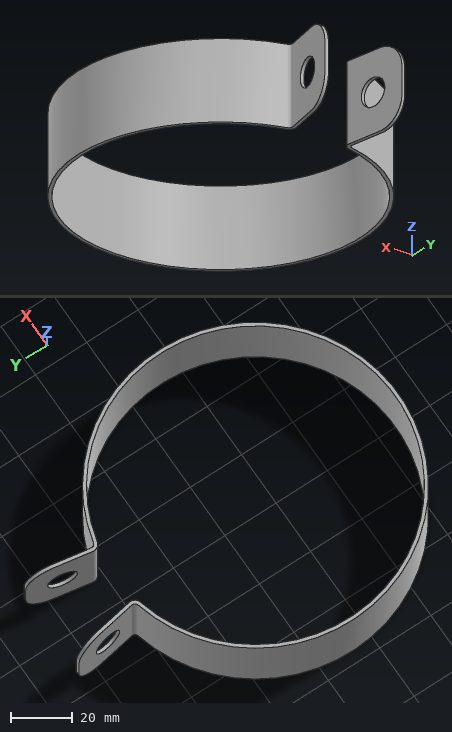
import cadquery as cq
import math

outer_diameter = 112.0
overall_depth = 135.7
band_width = 30.0
thickness = 1.4
bend_inner_radius = 1.5
bend_center_x = 13.3
tab_tilt = math.radians(10)
tab_corner_radius = 10.0
hole_diameter = 10.5
hole_to_tab_end = 13.0

outer_radius = outer_diameter / 2
inner_radius = outer_radius - thickness
bend_outer_radius = bend_inner_radius + thickness
bend_center_distance = outer_radius + bend_inner_radius
bend_center_y = math.sqrt(bend_center_distance**2 - bend_center_x**2)
bend_center = cq.Vector(bend_center_x, bend_center_y)
ring_end_angle = math.atan2(bend_center_y, bend_center_x)

tab_along = cq.Vector(math.sin(tab_tilt), math.cos(tab_tilt))
tab_across = cq.Vector(math.cos(tab_tilt), -math.sin(tab_tilt))

tab_start = bend_center - tab_across * bend_outer_radius
tab_length = (overall_depth - outer_radius - tab_start.y) / tab_along.y
tab_end = tab_start + tab_along * tab_length


def polar(radius, angle):
    return cq.Vector(radius * math.cos(angle), radius * math.sin(angle))


def mirrored(point):
    return cq.Vector(-point.x, point.y, point.z)


def bend_and_tab_edges():
    """Outline edges of the right bend and tab, open where they meet the ring."""
    bend_start_angle = ring_end_angle + math.pi
    bend_end_angle = math.pi - tab_tilt
    bend_middle_angle = (bend_start_angle + bend_end_angle) / 2
    across_sheet = tab_across * thickness
    inner_bend_middle = bend_center + polar(bend_inner_radius, bend_middle_angle)
    outer_bend_middle = bend_center + polar(bend_outer_radius, bend_middle_angle)
    return [
        ("arc", polar(outer_radius, ring_end_angle), inner_bend_middle, tab_start + across_sheet),
        ("line", tab_start + across_sheet, tab_end + across_sheet),
        ("line", tab_end + across_sheet, tab_end),
        ("line", tab_end, tab_start),
        ("arc", tab_start, outer_bend_middle, polar(inner_radius, ring_end_angle)),
    ]


def ring_edge(radius):
    right_end = polar(radius, ring_end_angle)
    return ("arc", mirrored(right_end), cq.Vector(0, -radius), right_end)


def bent_strip():
    """Whole strip: one closed outline extruded over the band width."""
    right_edges = bend_and_tab_edges()
    left_edges = [(kind, *map(mirrored, points)) for kind, *points in right_edges]
    make_edge = {"arc": cq.Edge.makeThreePointArc, "line": cq.Edge.makeLine}
    outline = right_edges + left_edges + [ring_edge(outer_radius), ring_edge(inner_radius)]
    edges = [make_edge[kind](*points) for kind, *points in outline]
    profile = cq.Wire.combine(edges)[0]
    strip = cq.Solid.extrudeLinear(profile, [], cq.Vector(0, 0, band_width))
    return cq.Workplane(strip.translate(cq.Vector(0, 0, -band_width / 2)))


def round_tab_corners(strip):
    """Round the top and bottom corners at the free end of both tabs."""
    end_center = tab_end + tab_across * (thickness / 2)
    corner_offset = cq.Vector(0, 0, band_width / 2)
    for right_corner in (end_center + corner_offset, end_center - corner_offset):
        for corner in (right_corner, mirrored(right_corner)):
            corner_edge = strip.edges(cq.selectors.NearestToPointSelector(corner.toTuple()))
            strip = corner_edge.fillet(tab_corner_radius)
    return strip


def tab_hole():
    """Cutter for the right bolt hole, square to the tab face."""
    start = tab_end - tab_along * hole_to_tab_end - tab_across * thickness
    cutter_length = 3 * thickness
    return cq.Workplane(
        cq.Solid.makeCylinder(hole_diameter / 2, cutter_length, start, tab_across)
    )


right_hole = tab_hole()
left_hole = right_hole.mirror("YZ")
result = round_tab_corners(bent_strip()).cut(right_hole).cut(left_hole)